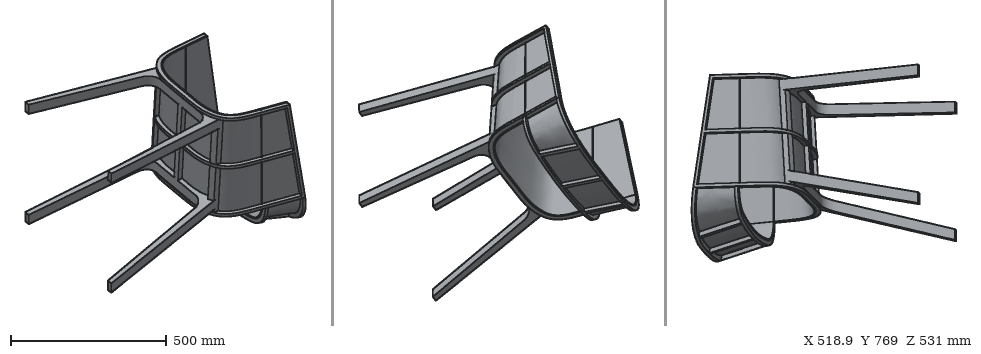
import cadquery as cq
import math

SEAT_BOTTOM = 156.0
SEAT_TOP = 531.0
SEAT_HEIGHT = SEAT_TOP - SEAT_BOTTOM
SEAT_LEAN = 0.057
LIP_FOOT = 769.0
LIP_HEAD = 693.0
FAR = 923.0

RIB_DEPTH = 15.0
LINER_THICKNESS = 5.0
SHELL_DEPTH = RIB_DEPTH + LINER_THICKNESS
RIB_WIDTH = 11.0
JOINT_GAP = 2.0

SEAT_FACE = 436.0
ARM_SLOPE = 0.132
ARM_ROOT = (233.0, 567.5)
SEAT_CORNER = (202.0, 481.0)
SEAT_HAUNCH = (138.5, 444.5)
ARM_LENGTH = 277.0
ARCH_STEPS = 12

BACK_NEAR = 602.0
NEAR_SECTION = [(241.5, SEAT_BOTTOM), (206.0, 81.5), (142.0, 58.0), (0.0, 44.0)]
FAR_SECTION = [(261.5, SEAT_BOTTOM), (220.0, 55.0), (154.0, 16.0), (0.0, 0.0)]
BACK_RIB_OFFSET = 146.0

LEG_HEIGHT = 36.0
LOWER_FOOT_BASE = 58.0
LOWER_LEG_SLOPE = math.tan(math.radians(15))
LEG_START = -8.0
FOOT_OUTER = 252.0
FOOT_WIDTH = 20.0
LEG_ROOT_OUTER = 179.0
LEG_GAP_ROOT = 156.0
LEG_FILLET = 48.0
ROOT_REACH = 41.0
CENTRE_STILE_WIDTH = 23.0
SIDE_STILE_WIDTH = 20.0
SIDE_STILE_OUTER = 181.0

RIM_TOP_BASE = SEAT_TOP - RIB_WIDTH
MIDDLE_RIB_BASE = (SEAT_BOTTOM + RIM_TOP_BASE) / 2


def block(x_range, y_range, z_range):
    """Axis-aligned box between the given limits."""
    sizes = [high - low for low, high in (x_range, y_range, z_range)]
    corner = cq.Vector(x_range[0], y_range[0], z_range[0])
    return cq.Workplane(cq.Solid.makeBox(*sizes, corner))


def side_prism(points):
    """Prism across the full width with the given (Y, Z) outline."""
    return cq.Workplane("YZ").polyline(points).close().extrude(FAR, both=True)


def seat_face_at(z):
    """Y of the seat's outer surface on the centre plane at height z."""
    return SEAT_FACE - SEAT_LEAN * (SEAT_TOP - z)


def leaning_prism(wire, height):
    """Upward extrusion of a horizontal outline along the lean of the seat."""
    direction = cq.Vector(0, SEAT_LEAN * height, height)
    return cq.Workplane(cq.Solid.extrudeLinear(wire, [], direction))


def arch_outline(half_points, arm, normal, inset):
    """Closed outline of a round arch between two straight arms.

    half_points run from the left arm to the middle, and arm is the vector along the left arm.
    The outline lies in the plane of the given normal and is moved inwards by inset.
    """
    mirrored = [cq.Vector(-p.x, p.y, p.z) for p in half_points[-2::-1]]
    right_arm = cq.Vector(-arm.x, arm.y, arm.z)
    tangents = [arm.normalized() * -1, right_arm.normalized()]
    arch = cq.Edge.makeSpline(half_points + mirrored, tangents=tangents, scale=False)
    if inset:
        steps = [i / ARCH_STEPS for i in range(ARCH_STEPS + 1)]
        moved = [arch.positionAt(t) + normal.cross(arch.tangentAt(t)) * inset for t in steps]
        arch = cq.Edge.makeSpline(moved, tangents=tangents, scale=False)
    left_root = arch.startPoint()
    right_root = arch.endPoint()
    left_end = left_root + arm
    right_end = right_root + right_arm
    return cq.Wire.assembleEdges([
        cq.Edge.makeLine(left_end, left_root),
        arch,
        cq.Edge.makeLine(right_root, right_end),
        cq.Edge.makeLine(right_end, left_end),
    ])


def seat_core(inset):
    """Everything inside the seat's outer surface moved inwards by inset."""
    drop = SEAT_LEAN * SEAT_HEIGHT
    half = [(-x, y - drop) for x, y in (ARM_ROOT, SEAT_CORNER, SEAT_HAUNCH, (0, SEAT_FACE))]
    points = [cq.Vector(x, y, SEAT_BOTTOM) for x, y in half]
    arm = cq.Vector(-ARM_SLOPE, 1, 0)
    outline = arch_outline(points, arm * ARM_LENGTH, cq.Vector(0, 0, 1), inset)
    return leaning_prism(outline, SEAT_HEIGHT)


def back_outline(section, y, inset):
    """Closed arch through a half section, its sides carried up into the seat."""
    points = [cq.Vector(-x, y, z) for x, z in section]
    up = cq.Vector(0, 0, 1)
    return arch_outline(points, up * SEAT_BOTTOM, cq.Vector(0, -1, 0), inset)


def back_core(inset):
    """Everything inside the backrest's outer surface moved inwards by inset."""
    near = back_outline(NEAR_SECTION, BACK_NEAR, inset)
    far = back_outline(FAR_SECTION, LIP_FOOT, inset)
    core = cq.Workplane(cq.Solid.makeLoft([near, far], True))
    return core.intersect(block((-FAR, FAR), (0, FAR), (-FAR, SEAT_BOTTOM)))


def behind_lip(margin):
    """Half space on the seat side of the lip plane moved towards the feet by margin."""
    lean = (LIP_FOOT - LIP_HEAD) / SEAT_TOP
    return side_prism([
        (-FAR, -FAR),
        (LIP_FOOT + lean * FAR - margin, -FAR),
        (LIP_FOOT - lean * FAR - margin, FAR),
        (-FAR, FAR),
    ])


seat_rib_layer = seat_core(0).cut(seat_core(RIB_DEPTH))
seat_liner_layer = seat_core(RIB_DEPTH).cut(seat_core(SHELL_DEPTH))
back_rib_layer = back_core(0).cut(back_core(RIB_DEPTH))
back_liner_layer = back_core(RIB_DEPTH).cut(back_core(SHELL_DEPTH))
inside_lip = behind_lip(0)
lip_band = inside_lip.cut(behind_lip(RIB_WIDTH))

seat_liner = seat_liner_layer.intersect(
    block((-FAR, FAR), (0, BACK_NEAR - JOINT_GAP), (0, FAR))
)

arm_liner = seat_liner_layer.intersect(block((-FAR, FAR), (BACK_NEAR, FAR), (0, FAR)))
back_liner = arm_liner.union(back_liner_layer).intersect(inside_lip)


def level_band(z):
    """Horizontal slab one rib wide, standing on height z."""
    return block((-FAR, FAR), (0, FAR), (z, z + RIB_WIDTH))


def build_rib_frame():
    frame = seat_rib_layer.intersect(lip_band)
    for z in (SEAT_BOTTOM, MIDDLE_RIB_BASE, RIM_TOP_BASE):
        frame = frame.union(seat_rib_layer.intersect(level_band(z)))
    near_band = block((-FAR, FAR), (BACK_NEAR, BACK_NEAR + RIB_WIDTH), (-FAR, FAR))
    frame = frame.union(back_rib_layer.intersect(lip_band))
    frame = frame.union(back_rib_layer.intersect(near_band))
    for x in (-BACK_RIB_OFFSET, 0, BACK_RIB_OFFSET):
        strip = block((x - RIB_WIDTH / 2, x + RIB_WIDTH / 2), (0, FAR), (-FAR, SEAT_BOTTOM / 2))
        frame = frame.union(back_rib_layer.intersect(strip))
    return frame.intersect(inside_lip)


def flat_wire(points):
    return cq.Wire.makePolygon([cq.Vector(x, y, 0) for x, y in points], close=True)


def leg_pair(bar_height, foot_base, slope):
    """Two splayed legs joined by a crossbar, rising towards the shell at the given slope.

    bar_height is the middle height of the crossbar, and foot_base the lowest height of the feet.
    """
    lean_shift = cq.Vector(0, -SEAT_LEAN * bar_height, 0)
    bar_face = seat_face_at(bar_height)
    foot_inner = FOOT_OUTER - FOOT_WIDTH
    root_y = bar_face + ROOT_REACH
    outer = flat_wire([
        (-FOOT_OUTER, LEG_START),
        (FOOT_OUTER, LEG_START),
        (LEG_ROOT_OUTER, root_y),
        (-LEG_ROOT_OUTER, root_y),
    ])
    gap = flat_wire([
        (-foot_inner, LEG_START),
        (foot_inner, LEG_START),
        (LEG_GAP_ROOT, bar_face),
        (-LEG_GAP_ROOT, bar_face),
    ])
    corners = [vertex for vertex in gap.Vertices() if vertex.Y > bar_face / 2]
    gap = gap.fillet2D(LEG_FILLET, corners)
    pair = leaning_prism(outer.translate(lean_shift), SEAT_TOP)
    pair = pair.cut(leaning_prism(gap.translate(lean_shift), SEAT_TOP))
    root_base = foot_base + slope * FAR
    slab = side_prism([
        (0, foot_base),
        (FAR, root_base),
        (FAR, root_base + LEG_HEIGHT),
        (0, foot_base + LEG_HEIGHT),
    ])
    return pair.intersect(slab)


def side_stile(x_low, x_high):
    """Upright filling the depth of the rib layer between the seat's top and bottom rims."""
    strip = block((x_low, x_high), (0, BACK_NEAR), (SEAT_BOTTOM + RIB_WIDTH, RIM_TOP_BASE))
    return seat_rib_layer.intersect(strip)


def centre_stile(low, high):
    """Flat-faced upright joining the middles of the two crossbars."""
    half = CENTRE_STILE_WIDTH / 2
    face = seat_face_at(0)
    back = face + ROOT_REACH
    upright = leaning_prism(flat_wire([(-half, face), (half, face), (half, back), (-half, back)]), SEAT_TOP)
    return upright.intersect(block((-FAR, FAR), (0, FAR), (low, high)))


def build_leg_frame():
    upper_base = RIM_TOP_BASE - LEG_HEIGHT
    upper_bar = upper_base + LEG_HEIGHT / 2
    lower_bar = LOWER_FOOT_BASE + LOWER_LEG_SLOPE * seat_face_at(SEAT_BOTTOM) + LEG_HEIGHT / 2
    frame = leg_pair(upper_bar, upper_base, 0)
    frame = frame.union(leg_pair(lower_bar, LOWER_FOOT_BASE, LOWER_LEG_SLOPE))
    frame = frame.union(centre_stile(lower_bar, upper_bar))
    frame = frame.cut(seat_core(RIB_DEPTH))
    side_inner = SIDE_STILE_OUTER - SIDE_STILE_WIDTH
    frame = frame.union(side_stile(side_inner, SIDE_STILE_OUTER))
    frame = frame.union(side_stile(-SIDE_STILE_OUTER, -side_inner))
    return frame


rib_frame = build_rib_frame()
leg_frame = build_leg_frame()
lap_notch = level_band(MIDDLE_RIB_BASE).cut(seat_core(RIB_DEPTH / 2))
leg_frame = leg_frame.cut(lap_notch)
rib_frame = rib_frame.cut(leg_frame)

result = cq.Compound.makeCompound([
    seat_liner.val(),
    back_liner.val(),
    rib_frame.val(),
    leg_frame.val(),
])